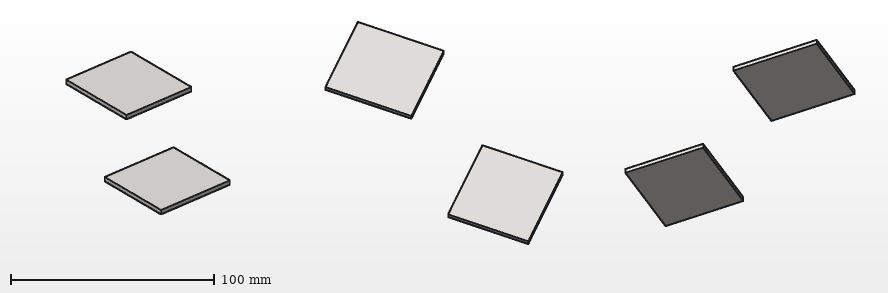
import cadquery as cq

total_length = 127.3
total_width = 89.8
thickness = 2.5

back_length = 45.7
back_width = 42.1
front_length = 42.7
front_width = 44.7


def plate(length, width, left, front):
    """Flat plate with its lower left front corner at (left, front, 0)."""
    return cq.Workplane("XY").box(length, width, thickness, centered=False).translate((left, front, 0))


back_plate = plate(back_length, back_width, 0, total_width - back_width)
front_plate = plate(front_length, front_width, total_length - front_length, 0)

result = cq.Compound.makeCompound([back_plate.val(), front_plate.val()])